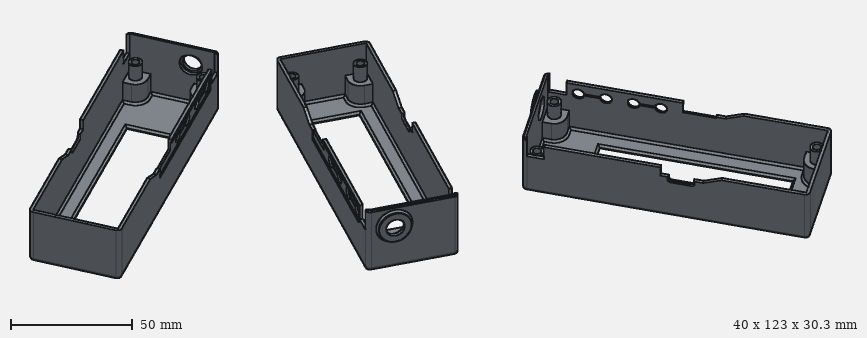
import cadquery as cq

width = 40.0
total_length = 123.0
boss_height = 1.6
length = total_length - boss_height
wall = 1.5
edge_radius = 2.0
floor_thickness = wall
floor_chamfer = 1.0

back_top = 30.3
side_top = 27.4
front_top = 26.1
port_top = 22.6
corner_notch_top = 20.4
rim_chamfer = 0.5

ramp_start = 37.0
ramp_end = 44.8
port_step = 62.9
corner_notch_start = 112.0

window_width = 22.9
window_length = 81.7
window_center_y = 55.4
window_chamfer = 1.0

tower_inset = 5.2
tower_radius = 5.4
tower_top = 11.7
pin_diameter = 5.7
pin_bore = 3.5
pin_top = 19.2

entry_x = 8.0
entry_z = 20.9
entry_diameter = 8.0
entry_counterbore = 10.0
entry_counterbore_depth = 1.5
boss_base_diameter = 15.7
boss_foot_height = 1.0
boss_diameter = 14.0

button_diameter = 5.0
button_pitch = 11.7
button_first_y = 72.0
button_count = 4
button_z = 22.1
slit_height = 0.7

plug_y = 54.1
plug_width = 10.6
plug_bottom = 20.2
plug_corner = 1.1
plug_bevel = 0.5

relief_start = 48.7
relief_end = 110.7
relief_top = 22.0
relief_depth = 0.5
relief_ceiling = 25.7
relief_floor = 18.5

half_width = width / 2
inner_width = width - 2 * wall
back_inside = length - wall


def block(x0, x1, y0, y1, z0, z1):
    """Box given by its limits along each axis."""
    return cq.Workplane("XY").box(x1 - x0, y1 - y0, z1 - z0, centered=False).translate((x0, y0, z0))


def side_profile():
    """Outline of the tray seen along X, with the stepped wall tops."""
    return (
        cq.Workplane("YZ", origin=(-half_width, 0, 0))
        .moveTo(0, 0)
        .lineTo(length, 0)
        .lineTo(length, back_top)
        .lineTo(length - edge_radius, back_top)
        .lineTo(length - edge_radius, corner_notch_top)
        .lineTo(corner_notch_start, corner_notch_top)
        .lineTo(corner_notch_start, side_top)
        .lineTo(port_step, side_top)
        .lineTo(port_step, port_top)
        .lineTo(ramp_end, port_top)
        .lineTo(ramp_start, front_top)
        .lineTo(0, front_top)
        .close()
        .extrude(width)
    )


def make_tray():
    """Solid outside shape, rounded below and at the corners, with stepped tops."""
    envelope = (
        cq.Workplane("XY")
        .box(width, length, back_top, centered=(True, False, False))
        .edges("|Z or <Z")
        .fillet(edge_radius)
        .faces(">Z")
        .chamfer(rim_chamfer)
    )
    return envelope.intersect(side_profile())


def corners():
    """Each tower's centre, with the signs that point from it into its corner."""
    x = half_width - tower_inset
    for sign_x in (-1, 1):
        yield sign_x * x, tower_inset, sign_x, -1
        yield sign_x * x, length - tower_inset, sign_x, 1


def make_towers():
    """Corner blocks that run into both walls and are rounded towards the middle."""
    towers = cq.Workplane("XY")
    side = tower_inset + tower_radius
    middle = (tower_inset - tower_radius) / 2
    for x, y, sign_x, sign_y in corners():
        tower = (
            cq.Workplane("XY")
            .rect(side, side)
            .extrude(tower_top)
            .translate((x + sign_x * middle, y + sign_y * middle, 0))
            .edges("|Z")
            .edges(cq.NearestToPointSelector((x - sign_x * tower_radius, y - sign_y * tower_radius, 0)))
            .fillet(tower_radius)
        )
        towers = towers.union(tower)
    return towers


def make_cavity():
    """Inside space: shaped around the towers low down, rectangular above them."""
    lower = (
        block(-inner_width / 2, inner_width / 2, wall, back_inside, floor_thickness, tower_top)
        .cut(make_towers())
        .faces("<Z")
        .chamfer(floor_chamfer)
    )
    upper = block(-inner_width / 2, inner_width / 2, wall, back_inside, tower_top, back_top)
    return lower.union(upper)


def make_window():
    """Floor window, widened by a bevel at its upper edge."""
    straight = (
        cq.Workplane("XY")
        .center(0, window_center_y)
        .rect(window_width, window_length)
        .extrude(floor_thickness)
    )
    bevel = (
        cq.Workplane("XY", origin=(0, window_center_y, floor_thickness))
        .rect(window_width + 2 * window_chamfer, window_length + 2 * window_chamfer)
        .extrude(-window_chamfer, taper=45)
    )
    return straight.union(bevel)


def tower_cylinders(diameter, bottom, top):
    """One upright cylinder at each tower's centre."""
    centers = [(x, y) for x, y, _, _ in corners()]
    return (
        cq.Workplane("XY", origin=(0, 0, bottom))
        .pushPoints(centers)
        .circle(diameter / 2)
        .extrude(top - bottom)
    )


def entry_cylinder(diameter, start, end):
    """Cylinder on the cable entry's axis, running along Y from start to end."""
    return (
        cq.Workplane("XZ", origin=(entry_x, start, entry_z))
        .circle(diameter / 2)
        .extrude(start - end)
    )


def make_entry_boss():
    """Collar on the outside of the back wall: a conical foot below a short cylinder."""
    foot = (
        cq.Workplane("XZ", origin=(entry_x, length, entry_z))
        .circle(boss_base_diameter / 2)
        .workplane(offset=-boss_foot_height)
        .circle(boss_diameter / 2)
        .loft()
    )
    return foot.union(entry_cylinder(boss_diameter, length, total_length))


def make_button_holes():
    """Holes through the +X wall; a thin slit joins the two holes of each pair."""
    holes = cq.Workplane("XY")
    x0 = inner_width / 2
    for i in range(button_count):
        y = button_first_y + i * button_pitch
        hole = (
            cq.Workplane("YZ", origin=(x0, y, button_z))
            .circle(button_diameter / 2)
            .extrude(wall)
        )
        holes = holes.union(hole)
        if i % 2 == 0:
            z0 = button_z - slit_height / 2
            holes = holes.union(block(x0, half_width, y, y + button_pitch, z0, z0 + slit_height))
    return holes


def plug_outline(workplane, grow):
    """Notch outline with rounded lower corners, grown outwards by the given amount."""
    half = plug_width / 2 + grow
    bottom = plug_bottom - grow
    radius = plug_corner + grow
    return (
        workplane
        .moveTo(plug_y - half, side_top)
        .lineTo(plug_y - half, bottom + radius)
        .radiusArc((plug_y - half + radius, bottom), -radius)
        .lineTo(plug_y + half - radius, bottom)
        .radiusArc((plug_y + half, bottom + radius), -radius)
        .lineTo(plug_y + half, side_top)
        .close()
    )


def make_plug_opening():
    """Notch through the -X wall, bevelled at its outer edge."""
    through = plug_outline(cq.Workplane("YZ", origin=(-half_width, 0, 0)), 0).extrude(wall)
    outer = plug_outline(cq.Workplane("YZ", origin=(-half_width, 0, 0)), plug_bevel)
    bevel = plug_outline(outer.workplane(offset=plug_bevel), 0).loft()
    return through.union(bevel)


def make_relief():
    """Lowered top of the +X wall, with a shallow recess in its outer face.

    The recess reaches along the buttons and its floor slopes down and outwards.
    """
    low_top = block(inner_width / 2, half_width, relief_start, port_step, relief_top, port_top)
    recess = (
        cq.Workplane("XZ", origin=(0, relief_end, 0))
        .moveTo(half_width, relief_ceiling)
        .lineTo(half_width - relief_depth, relief_ceiling)
        .lineTo(half_width - relief_depth, relief_floor)
        .lineTo(half_width, relief_floor - relief_depth)
        .close()
        .extrude(relief_end - relief_start)
    )
    return low_top.union(recess)


result = (
    make_tray()
    .cut(make_cavity())
    .union(make_entry_boss())
    .union(tower_cylinders(pin_diameter, tower_top, pin_top))
    .cut(tower_cylinders(pin_bore, 0, pin_top))
    .cut(make_window())
    .cut(entry_cylinder(entry_diameter, back_inside, total_length))
    .cut(entry_cylinder(entry_counterbore, back_inside, back_inside + entry_counterbore_depth))
    .cut(make_button_holes())
    .cut(make_plug_opening())
    .cut(make_relief())
)